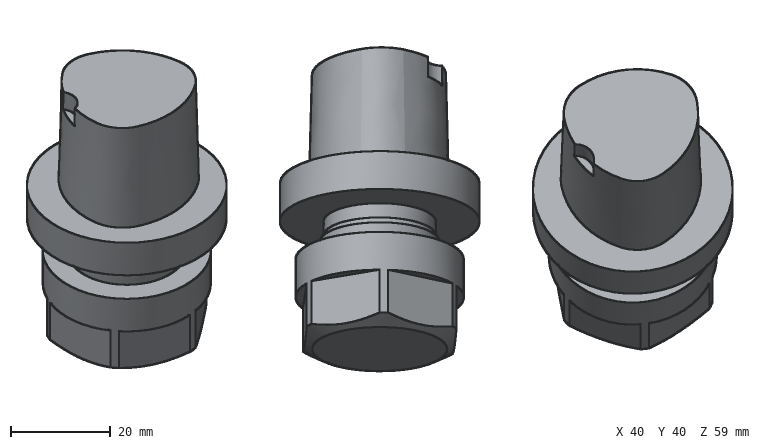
import cadquery as cq
import math

hex_top = 11.0
collar_top = 19.0
thread_top = 24.0
flange_bottom = 27.0
flange_top = 35.0
total_height = 59.0

flange_diameter = 40.0
neck_diameter = 22.5
thread_diameter = 24.0
thread_chamfer_angle = 60.0
nut_diameter = 33.7

across_flats = 30.0
hex_sides = 6
nut_face_diameter = 27.0
nut_chamfer_angle = 30.0

shank_base_width = 28.1
shank_taper = 1 / 20
lobe_centre_radius = 6.0
lobe_count = 3
lobe_pitch = 360 / lobe_count
lobe_half_arc = lobe_pitch / 4
first_lobe_angle = 90.0

notch_radius = 3.8
notch_depth = 4.2
notch_innermost_y = -10.9


def disc(diameter, bottom, top):
    return cq.Workplane("XY").workplane(offset=bottom).circle(diameter / 2).extrude(top - bottom)


def polar(centre, radius, angle):
    """Point at the given radius and angle (degrees) from a centre."""
    a = math.radians(angle)
    return (centre[0] + radius * math.cos(a), centre[1] + radius * math.sin(a))


def shank_outline(plane, width):
    """Constant-width curve: lobe arcs joined tangentially by flatter flank arcs."""
    centre_spacing = lobe_centre_radius * math.sqrt(3)
    lobe_radius = (width - centre_spacing) / 2
    flank_reach = width - lobe_radius - lobe_centre_radius

    outline = plane
    for lobe in range(lobe_count):
        angle = first_lobe_angle + lobe_pitch * lobe
        centre = polar((0, 0), lobe_centre_radius, angle)
        next_centre = polar((0, 0), lobe_centre_radius, angle + lobe_pitch)
        if lobe == 0:
            outline = outline.moveTo(*polar(centre, lobe_radius, angle - lobe_half_arc))
        outline = outline.threePointArc(
            polar(centre, lobe_radius, angle), polar(centre, lobe_radius, angle + lobe_half_arc)
        )
        outline = outline.threePointArc(
            polar((0, 0), flank_reach, angle + lobe_pitch / 2),
            polar(next_centre, lobe_radius, angle + lobe_pitch - lobe_half_arc),
        )
    return outline.close()


def make_shank():
    height = total_height - flange_top
    base = shank_outline(cq.Workplane("XY").workplane(offset=flange_top), shank_base_width)
    both = shank_outline(base.workplane(offset=height), shank_base_width - shank_taper * height)
    shank = both.loft(ruled=True)
    notch = disc(2 * notch_radius, total_height - notch_depth, total_height)
    return shank.cut(notch.translate((0, notch_innermost_y - notch_radius, 0)))


def make_neck():
    neck_radius = neck_diameter / 2
    thread_radius = thread_diameter / 2
    chamfer_height = (thread_radius - neck_radius) * math.tan(math.radians(thread_chamfer_angle))
    half_profile = [
        (0, collar_top),
        (thread_radius, collar_top),
        (thread_radius, thread_top - chamfer_height),
        (neck_radius, thread_top),
        (neck_radius, flange_bottom),
        (0, flange_bottom),
    ]
    return cq.Workplane("XZ").polyline(half_profile).close().revolve(360, (0, 0), (0, 1))


def make_nut():
    """Round collar over a hexagon whose corners are rounded and chamfered at the face."""
    nut_radius = nut_diameter / 2
    face_radius = nut_face_diameter / 2
    chamfer_height = (nut_radius - face_radius) * math.tan(math.radians(nut_chamfer_angle))
    half_profile = [
        (0, 0),
        (face_radius, 0),
        (nut_radius, chamfer_height),
        (nut_radius, hex_top),
        (0, hex_top),
    ]
    turned = cq.Workplane("XZ").polyline(half_profile).close().revolve(360, (0, 0), (0, 1))
    across_corners = across_flats / math.cos(math.pi / hex_sides)
    hexagon = cq.Workplane("XY").polygon(hex_sides, across_corners).extrude(hex_top)
    hexagon = hexagon.rotate((0, 0, 0), (0, 0, 1), 180 / hex_sides)
    return turned.intersect(hexagon).union(disc(nut_diameter, hex_top, collar_top))


flange = disc(flange_diameter, flange_bottom, flange_top)
result = make_nut().union(make_neck()).union(flange).union(make_shank())